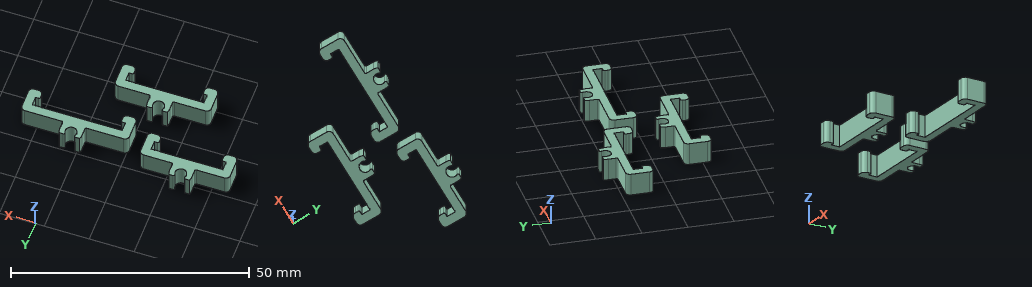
import cadquery as cq
import math

OVERALL_LENGTH = 47.35
OVERALL_WIDTH = 24.1
THICKNESS = 5.0

CLIP_HEIGHT = 9.0
MODULE = CLIP_HEIGHT / 9
TOWER_HEIGHT = 3 * MODULE
TOWER_WIDTH = 5 * MODULE
WALL = 2 * MODULE
HOOK_REACH = MODULE
BAR_TOP = CLIP_HEIGHT - TOWER_HEIGHT

SOCKET_RADIUS = TOWER_WIDTH / 4
SOCKET_Y = CLIP_HEIGHT - MODULE

CORNER_RADIUS = MODULE
SMALL_RADIUS = 0.3

SMALL_CLIP_LENGTH = 20.0
LARGE_CLIP_LENGTH = 24.0
MEDIUM_CLIP_LENGTH = 21.4

REAR_CLIP_Y = OVERALL_WIDTH / 2 - CLIP_HEIGHT
LARGE_CLIP_SETBACK = 2.55
MEDIUM_CLIP_X = -3.4

CLIP_LAYOUT = [
    (SMALL_CLIP_LENGTH, (SMALL_CLIP_LENGTH - OVERALL_LENGTH) / 2, REAR_CLIP_Y),
    (LARGE_CLIP_LENGTH, (OVERALL_LENGTH - LARGE_CLIP_LENGTH) / 2, REAR_CLIP_Y - LARGE_CLIP_SETBACK),
    (MEDIUM_CLIP_LENGTH, MEDIUM_CLIP_X, -OVERALL_WIDTH / 2),
]


def round_mirrored_edges(body, corners, radius):
    """Fillet the upright edges at the given (x, y) corners and at their mirror images in x."""
    for x, y in corners:
        for side in (-1, 1):
            edge = cq.selectors.NearestToPointSelector((side * x, y, THICKNESS / 2))
            body = body.edges("|Z").edges(edge).fillet(radius)
    return body


def make_clip_outline(length):
    """C-shaped clip with inward hooks and a plain tower, with sharp corners except the tower flanks."""
    outer_x = length / 2
    inner_x = outer_x - WALL
    hook_x = inner_x - HOOK_REACH
    flank_x = TOWER_WIDTH / 2
    tower_top_x = math.sqrt(flank_x**2 - (CLIP_HEIGHT - SOCKET_Y) ** 2)
    flank_angle = math.atan2(CLIP_HEIGHT - SOCKET_Y, tower_top_x) / 2
    flank_middle = (flank_x * math.cos(flank_angle), SOCKET_Y + flank_x * math.sin(flank_angle))

    half = (
        cq.Workplane("XY")
        .moveTo(0, CLIP_HEIGHT)
        .lineTo(tower_top_x, CLIP_HEIGHT)
        .threePointArc(flank_middle, (flank_x, SOCKET_Y))
        .lineTo(flank_x, BAR_TOP)
        .lineTo(outer_x, BAR_TOP)
        .lineTo(outer_x, 0)
        .lineTo(hook_x, 0)
        .lineTo(hook_x, WALL)
        .lineTo(inner_x, WALL)
        .lineTo(inner_x, BAR_TOP - WALL)
        .lineTo(0, BAR_TOP - WALL)
        .close()
        .extrude(THICKNESS)
    )
    return half.union(half.mirror("YZ")).clean()


def make_clip(length):
    """Finished clip, centred in x with its hooks standing on y = 0."""
    clip = make_clip_outline(length)

    outer_x = length / 2
    hook_x = outer_x - WALL - HOOK_REACH
    clip = round_mirrored_edges(clip, [(outer_x, BAR_TOP), (outer_x, 0), (hook_x, 0)], CORNER_RADIUS)
    small_corners = [(hook_x, WALL), (TOWER_WIDTH / 2, BAR_TOP)]
    clip = round_mirrored_edges(clip, small_corners, SMALL_RADIUS)

    socket = cq.Workplane("XY").center(0, SOCKET_Y).circle(SOCKET_RADIUS).extrude(THICKNESS)
    clip = clip.cut(socket)
    mouth_x = math.sqrt(SOCKET_RADIUS**2 - (CLIP_HEIGHT - SOCKET_Y) ** 2)
    return round_mirrored_edges(clip, [(mouth_x, CLIP_HEIGHT)], SMALL_RADIUS)


clips = []
for clip_length, centre_x, base_y in CLIP_LAYOUT:
    clips.append(make_clip(clip_length).translate((centre_x, base_y, 0)).val())

result = cq.Compound.makeCompound(clips)